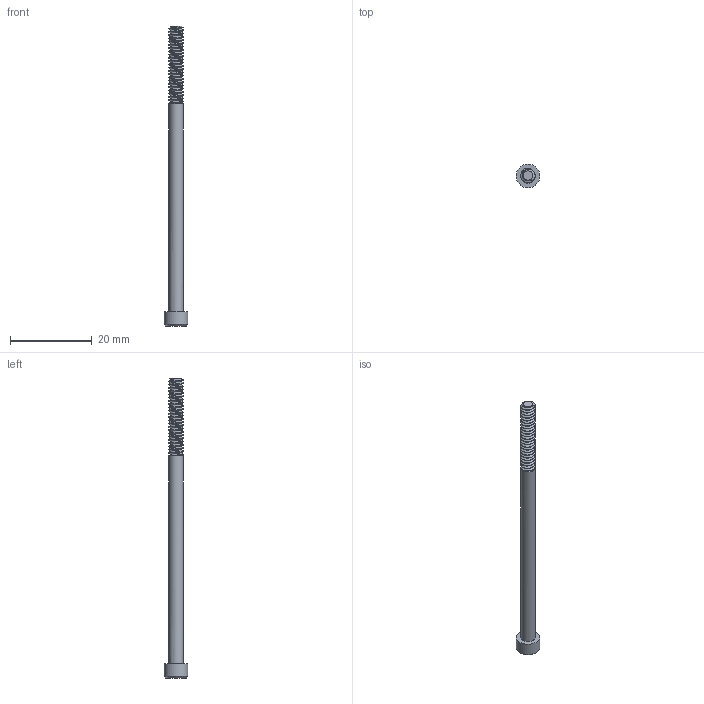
import cadquery as cq
import math

INCH = 25.4
major_radius = 0.138 * INCH / 2
head_radius = 0.226 * INCH / 2
head_height = 0.138 * INCH
head_chamfer = 0.4
under_head_length = 2.75 * INCH
thread_length = 0.75 * INCH
pitch = INCH / 32

flank_slope = math.tan(math.radians(30))
crest_width = pitch / 8
root_width = pitch / 8
groove_top_width = pitch - crest_width
thread_depth = (groove_top_width - root_width) / (2 * flank_slope)
minor_radius = major_radius - thread_depth
groove_overlap = 0.05
groove_phase = pitch * 3 / 16

tip_radius = 1.15
tip_chamfer_height = 0.3

tip_z = under_head_length
thread_start_z = tip_z - thread_length


def make_head():
    """Cylindrical head with a bevelled outer end, its bearing face at Z = 0."""
    head = cq.Workplane("XY").circle(head_radius).extrude(-head_height)
    return head.faces("<Z").chamfer(head_chamfer)


def make_shank():
    """Smooth shank between the bearing face and the thread."""
    return cq.Workplane("XY").circle(major_radius).extrude(thread_start_z)


def make_groove_cutter():
    """Right-handed helical groove that runs past both ends of the thread."""
    start_z = thread_start_z + groove_phase - pitch
    helix = cq.Wire.makeHelix(pitch, thread_length + 2 * pitch, major_radius)
    helix = helix.translate(cq.Vector(0, 0, start_z))
    outer_radius = major_radius + groove_overlap
    outer_half_width = groove_top_width / 2 + groove_overlap * flank_slope
    profile = (
        cq.Workplane("XZ")
        .moveTo(minor_radius, start_z - root_width / 2)
        .lineTo(outer_radius, start_z - outer_half_width)
        .lineTo(outer_radius, start_z + outer_half_width)
        .lineTo(minor_radius, start_z + root_width / 2)
        .close()
    )
    return profile.sweep(cq.Workplane(obj=helix), isFrenet=True)


def make_thread():
    """Threaded end with a bevelled tip."""
    blank = (
        cq.Workplane("XZ")
        .moveTo(0, thread_start_z)
        .lineTo(major_radius, thread_start_z)
        .lineTo(major_radius, tip_z - tip_chamfer_height)
        .lineTo(tip_radius, tip_z)
        .lineTo(0, tip_z)
        .close()
        .revolve(360, (0, 0, 0), (0, 1, 0))
    )
    return blank.cut(make_groove_cutter())


result = make_head().union(make_shank()).union(make_thread())